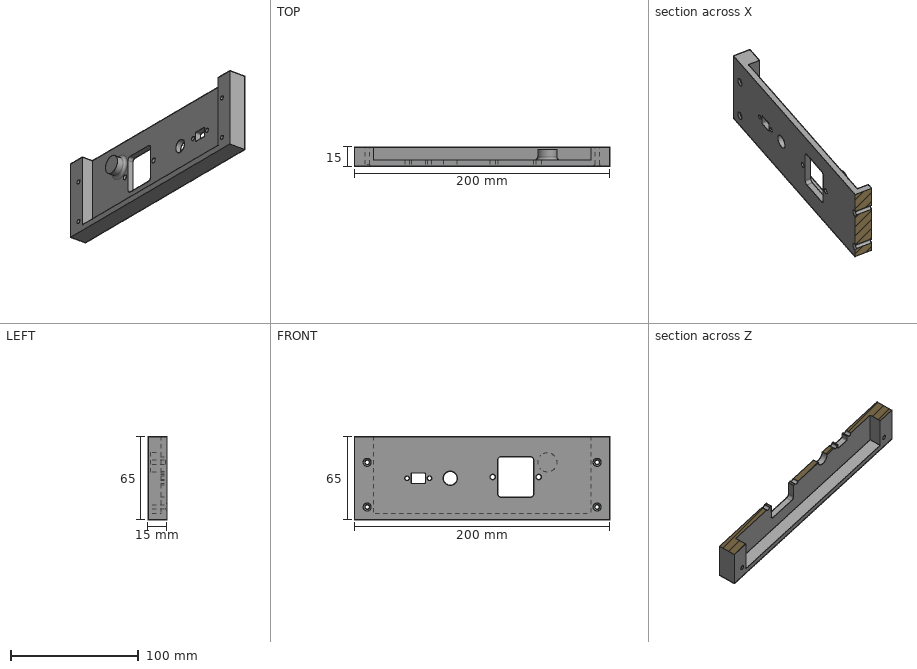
import cadquery as cq

LENGTH = 200.0
DEPTH = 15.0
HEIGHT = 65.0
WALL = 5.0
END_BLOCK = 15.0
FLOOR = 5.0

MOUNT_DIAMETER = 3.4
MOUNT_SINK_DIAMETER = 6.3
MOUNT_SINK_ANGLE = 90.0
MOUNT_INSET = 10.0
MOUNT_LOW_Z = 10.0
MOUNT_SPACING_Z = 35.0

CONNECTOR_X = 50.0
CONNECTOR_Z = 32.5
CONNECTOR_WIDTH = 11.0
CONNECTOR_HEIGHT = 8.0
CONNECTOR_CORNER_RADIUS = 0.5
CONNECTOR_SCREW_SPACING = 17.5
CONNECTOR_SCREW_DIAMETER = 3.4

ROUND_X = 75.0
ROUND_DIAMETER = 10.8

SOCKET_X = 126.25
SOCKET_Z = 33.5
SOCKET_WIDTH = 28.0
SOCKET_HEIGHT = 31.5
SOCKET_CORNER_RADIUS = 2.5
SOCKET_SCREW_SPACING = 36.0
SOCKET_SCREW_DIAMETER = 4.0

BOSS_X = 151.0
BOSS_Z = 45.0
BOSS_DIAMETER = 15.0
BOSS_HEIGHT = 8.0
BOSS_FILLET = 2.5


def front_plane(y=0.0):
    """Sketch plane at depth y with X right, Z up and its normal toward -Y."""
    return cq.Workplane("XZ", origin=(0, y, 0))


def make_body():
    """Block with a pocket open to the rear and top, leaving the plate, end blocks and floor."""
    block = cq.Workplane("XY").box(LENGTH, DEPTH, HEIGHT, centered=False)
    pocket = (
        cq.Workplane("XY")
        .box(LENGTH - 2 * END_BLOCK, DEPTH - WALL, HEIGHT - FLOOR, centered=False)
        .translate((END_BLOCK, WALL, FLOOR))
    )
    return block.cut(pocket)


def add_boss(body):
    """Solid round boss blended into the plate by a fillet."""
    boss = front_plane(WALL).center(BOSS_X, BOSS_Z).circle(BOSS_DIAMETER / 2).extrude(-BOSS_HEIGHT)
    return body.union(boss).edges("%CIRCLE").edges("<Y").fillet(BOSS_FILLET)


def cut_mount_holes(body):
    """Countersunk holes, two through each end block."""
    centres = [
        (x, z)
        for x in (MOUNT_INSET, LENGTH - MOUNT_INSET)
        for z in (MOUNT_LOW_Z, MOUNT_LOW_Z + MOUNT_SPACING_Z)
    ]
    return (
        body.copyWorkplane(front_plane())
        .pushPoints(centres)
        .cskHole(MOUNT_DIAMETER, MOUNT_SINK_DIAMETER, MOUNT_SINK_ANGLE)
    )


def round_cutter(x, z, diameter):
    """Cylinder through the plate."""
    return front_plane().center(x, z).circle(diameter / 2).extrude(-WALL)


def window_cutter(x, z, width, height, corner_radius):
    """Rectangular block with rounded corners through the plate."""
    block = front_plane().center(x, z).rect(width, height).extrude(-WALL)
    return block.edges("|Y").fillet(corner_radius)


def cut_screw_pair(body, x, z, spacing, diameter):
    """Two through holes placed evenly about x."""
    for side in (-1, 1):
        body = body.cut(round_cutter(x + side * spacing / 2, z, diameter))
    return body


def cut_connector(body):
    """Connector opening and its screw holes."""
    window = window_cutter(
        CONNECTOR_X, CONNECTOR_Z, CONNECTOR_WIDTH, CONNECTOR_HEIGHT, CONNECTOR_CORNER_RADIUS
    )
    body = body.cut(window)
    return cut_screw_pair(
        body, CONNECTOR_X, CONNECTOR_Z, CONNECTOR_SCREW_SPACING, CONNECTOR_SCREW_DIAMETER
    )


def cut_socket(body):
    """Power socket opening and its screw holes."""
    window = window_cutter(SOCKET_X, SOCKET_Z, SOCKET_WIDTH, SOCKET_HEIGHT, SOCKET_CORNER_RADIUS)
    body = body.cut(window)
    return cut_screw_pair(body, SOCKET_X, SOCKET_Z, SOCKET_SCREW_SPACING, SOCKET_SCREW_DIAMETER)


result = make_body()
result = add_boss(result)
result = cut_mount_holes(result)
result = cut_connector(result)
result = result.cut(round_cutter(ROUND_X, CONNECTOR_Z, ROUND_DIAMETER))
result = cut_socket(result)